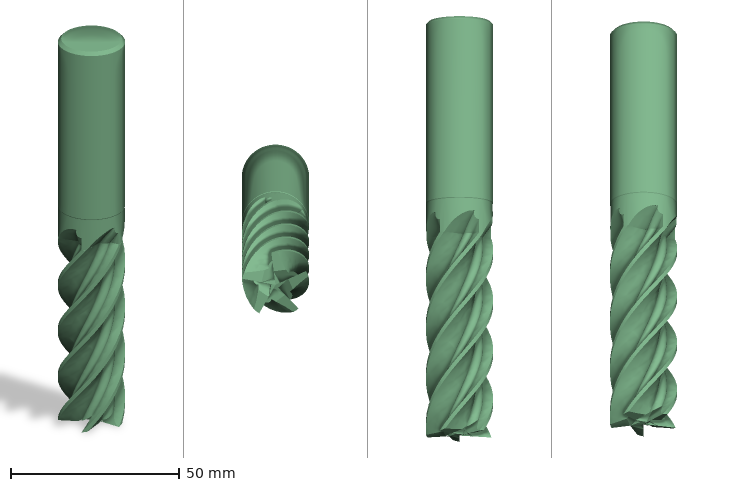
import cadquery as cq
import math

overall_length = 125.0
diameter = 20.0

shank_start = 70.2
neck_diameter = 19.8
neck_cone_height = 0.2
top_chamfer = 1.0

cutting_length = 60.0
flute_count = 5
helix_lead = 75.0
edge_phase = 35.0
runout_length = 6.2
runout_direction = 5.0
runout_middle_rise = 2.2

land_angle = 8.5
root_radius = 5.0
root_angle = -24.0
rake_foot_radius = 7.0
rake_foot_angle = -2.0
back_bulge = -0.19
root_sag = 0.9

gash_height = 4.2
gash_width = 4.0
gash_lean = 2.2
gash_start = 1.2
relief_angle = 14.0

radius = diameter / 2
neck_radius = neck_diameter / 2
pitch_angle = 360 / flute_count
cutter_twist = 360 * cutting_length / helix_lead
clear_radius = 1.5 * radius


def polar(distance, angle):
    """Point at a distance from the axis, at an angle in degrees from +X."""
    turn = math.radians(angle)
    return cq.Vector(distance * math.cos(turn), distance * math.sin(turn), 0)


def arc_middle(start, end, bulge):
    """Middle point of an arc that bows by bulge to the right of the line from start to end."""
    chord = end - start
    sideways = cq.Vector(chord.y, -chord.x, 0).normalized()
    return (start + end) * 0.5 + sideways * bulge


def flute_points(edge_angle):
    """Heel, back middle, root, root middle, rake foot and next edge of the flute behind a tooth."""
    next_angle = edge_angle + pitch_angle
    heel = polar(radius, edge_angle + land_angle)
    root = polar(root_radius, next_angle + root_angle)
    rake_foot = polar(rake_foot_radius, next_angle + rake_foot_angle)
    next_edge = polar(radius, next_angle)
    back_middle = arc_middle(heel, root, back_bulge)
    root_middle = arc_middle(root, rake_foot, root_sag)
    return heel, back_middle, root, root_middle, rake_foot, next_edge


def tooth_angles(first_angle):
    return [first_angle + i * pitch_angle for i in range(flute_count)]


def fluted_bar():
    """Twisted bar whose section alternates lands and flutes."""
    first_edge = polar(radius, edge_phase)
    section = cq.Workplane("XY").moveTo(first_edge.x, first_edge.y)
    for edge_angle in tooth_angles(edge_phase):
        heel, back_middle, root, root_middle, rake_foot, next_edge = flute_points(edge_angle)
        land_middle = polar(radius, edge_angle + land_angle / 2)
        section = (
            section.threePointArc(land_middle, heel)
            .threePointArc(back_middle, root)
            .threePointArc(root_middle, rake_foot)
            .lineTo(next_edge.x, next_edge.y)
        )
    return section.close().twistExtrude(cutting_length, cutter_twist)


def prism_along_edge(edge_angle, start, profile):
    """Prism running outward under a tooth's edge; its profile is (distance into the tooth, height)."""
    plane = cq.Plane(
        origin=polar(start, edge_angle),
        xDir=polar(1, edge_angle + 90),
        normal=polar(1, edge_angle),
    )
    return cq.Workplane(plane).polyline(profile).close().extrude(clear_radius - start)


def end_gash(edge_angle):
    profile = [(0, 0), (gash_lean, gash_height), (-gash_width, 0)]
    return prism_along_edge(edge_angle, gash_start, profile)


def end_relief(edge_angle):
    rise = clear_radius * math.tan(math.radians(relief_angle))
    wedge = prism_along_edge(edge_angle, 0, [(0, 0), (clear_radius, 0), (clear_radius, rise)])
    sector_angles = (edge_angle, edge_angle + pitch_angle)
    corners = [cq.Vector(0, 0, 0)] + [polar(clear_radius, angle) for angle in sector_angles]
    sector = cq.Workplane("XY").polyline(corners).close().extrude(rise)
    return wedge.intersect(sector)


def make_cutter():
    cutter = fluted_bar()
    for edge_angle in tooth_angles(edge_phase):
        cutter = cutter.cut(end_relief(edge_angle))
        cutter = cutter.cut(end_gash(edge_angle))
    return cutter


def runout_wire(edge_angle, shift, height):
    """Flute section, open to the outside, moved outward by shift and up to height."""
    next_angle = edge_angle + pitch_angle
    move = polar(shift, next_angle + runout_direction) + cq.Vector(0, 0, height)
    heel, back_middle, root, root_middle, rake_foot, next_edge = [p + move for p in flute_points(edge_angle)]
    outer_next = polar(clear_radius, next_angle) + move
    outer_heel = polar(clear_radius, edge_angle + land_angle) + move
    return cq.Wire.assembleEdges([
        cq.Edge.makeThreePointArc(heel, back_middle, root),
        cq.Edge.makeThreePointArc(root, root_middle, rake_foot),
        cq.Edge.makeLine(rake_foot, next_edge),
        cq.Edge.makeLine(next_edge, outer_next),
        cq.Edge.makeLine(outer_next, outer_heel),
        cq.Edge.makeLine(outer_heel, heel),
    ])


def flute_runout(edge_angle):
    """End of a flute, rising out of the neck ever more steeply."""
    depth = radius - root_radius
    stages = [(0, 0), (runout_length / 2, runout_middle_rise), (runout_length, depth)]
    sections = [runout_wire(edge_angle, rise, cutting_length + height) for height, rise in stages]
    return cq.Workplane(cq.Solid.makeLoft(sections))


def make_shank():
    profile = [
        (0, cutting_length),
        (-neck_radius, cutting_length),
        (-neck_radius, shank_start - neck_cone_height),
        (-radius, shank_start),
        (-radius, overall_length - top_chamfer),
        (-radius + top_chamfer, overall_length),
        (0, overall_length),
    ]
    shank = cq.Workplane("YZ").polyline(profile).close().revolve(360, (0, 0), (0, 1))
    for edge_angle in tooth_angles(edge_phase + cutter_twist):
        shank = shank.cut(flute_runout(edge_angle))
    return shank


cutter = make_cutter()
shank = make_shank()
result = cq.Compound.makeCompound([cutter.val(), shank.val()])